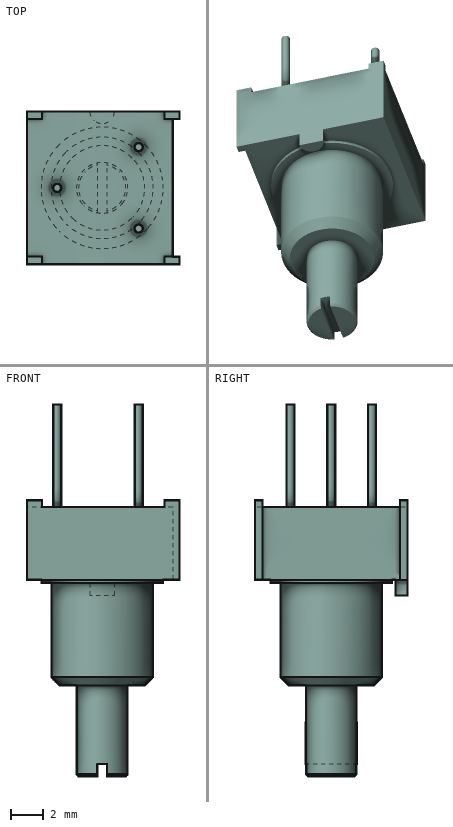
import cadquery as cq

housing_side = 9.53
housing_height = 4.54
recess_depth = 0.43

standoff_x = 0.96
standoff_y = 0.48
standoff_height = 0.43

pin_diameter = 0.51
pin_length = 6.39
pin_pitch = 2.54
pin_group_x = -0.33

shaft_axis_x = -0.07
flange_diameter = 7.6
flange_thickness = 0.2
bushing_diameter = 6.35
bushing_end = 6.58
bushing_chamfer = 0.53
shaft_diameter = 3.18
shaft_end = 12.25
shaft_chamfer = 0.13

slot_width = 0.6
slot_depth = 0.76

lug_radius = 0.76
lug_height = 0.98

half_side = housing_side / 2


def make_housing():
    """Square block with the +X wall recessed between two corner ribs."""
    block = cq.Workplane("XY").box(housing_side, housing_side, housing_height, centered=(True, True, False))
    recess_width = housing_side - 2 * standoff_y
    recess = (
        cq.Workplane("XY")
        .center(half_side - recess_depth / 2, 0)
        .rect(recess_depth, recess_width)
        .extrude(housing_height)
    )
    return block.cut(recess)


def make_standoffs():
    """Four small feet, flush with the corners of the housing."""
    return (
        cq.Workplane("XY", origin=(0, 0, housing_height))
        .rect(housing_side - standoff_x, housing_side - standoff_y, forConstruction=True)
        .vertices()
        .rect(standoff_x, standoff_y)
        .extrude(standoff_height)
    )


def make_pins():
    """One pin on the -X side and a pair on the +X side."""
    pin_places = [
        (-pin_pitch, 0),
        (pin_pitch, pin_pitch),
        (pin_pitch, -pin_pitch),
    ]
    return (
        cq.Workplane("XY", origin=(pin_group_x, 0, housing_height))
        .pushPoints(pin_places)
        .circle(pin_diameter / 2)
        .extrude(pin_length)
    )


def make_turned_cylinder(diameter, end):
    """Cylinder on the shaft axis, from the mounting face down to the given depth."""
    return cq.Workplane("XY", origin=(shaft_axis_x, 0, 0)).circle(diameter / 2).extrude(-end)


def make_shaft():
    """Shaft with a chamfered, slotted end; the slot runs along Y."""
    shaft = make_turned_cylinder(shaft_diameter, shaft_end).faces("<Z").chamfer(shaft_chamfer)
    slot = (
        cq.Workplane("XY", origin=(shaft_axis_x, 0, -shaft_end))
        .rect(slot_width, shaft_diameter)
        .extrude(slot_depth)
    )
    return shaft.cut(slot)


def make_lug():
    """Half-round locating lug in line with the shaft, its flat side flush with the +Y face."""
    return (
        cq.Workplane("XY")
        .moveTo(shaft_axis_x - lug_radius, half_side)
        .threePointArc((shaft_axis_x, half_side - lug_radius), (shaft_axis_x + lug_radius, half_side))
        .close()
        .extrude(-lug_height)
    )


flange = make_turned_cylinder(flange_diameter, flange_thickness)
bushing = make_turned_cylinder(bushing_diameter, bushing_end).faces("<Z").chamfer(bushing_chamfer)

result = (
    make_housing()
    .union(make_standoffs())
    .union(make_pins())
    .union(flange)
    .union(bushing)
    .union(make_shaft())
    .union(make_lug())
)